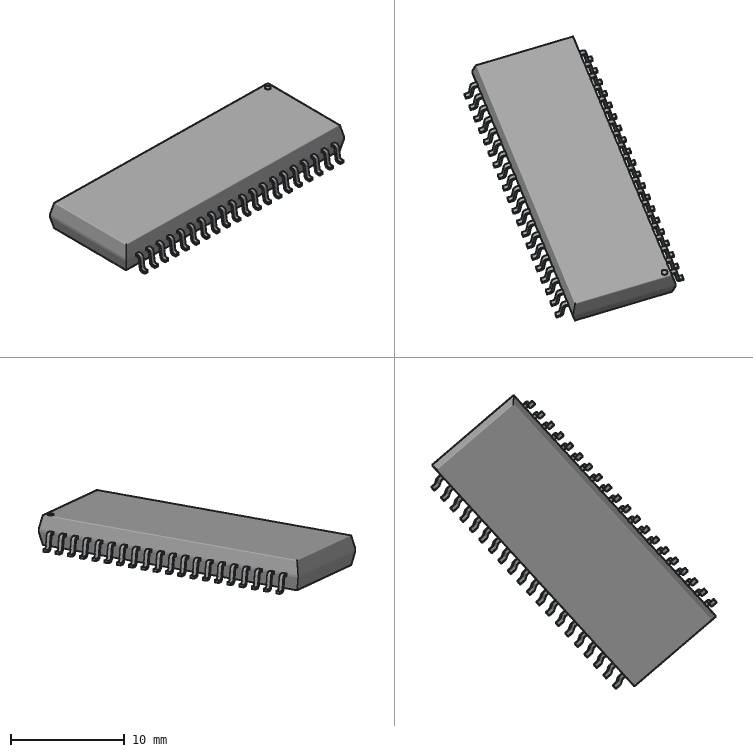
import cadquery as cq
import math

body_width = 9.6
body_length = 26.9
overall_height = 2.9
standoff = 0.1
draft_angle = 12.0
edge_radius = 0.1

leads_per_side = 20
lead_pitch = 1.27
lead_span = 11.86
lead_width = 0.4
lead_thickness = 0.23
leg_angle = 8.0
shoulder_x = 5.345
inner_bend_radius = 0.12
outer_bend_radius = inner_bend_radius + lead_thickness
lead_embed = 0.5

mark_diameter = 0.53
mark_inset_x = 0.79
mark_inset_y = 0.78
mark_depth = 0.05

body_height = overall_height - standoff
band_height = lead_thickness
band_bottom = standoff + (body_height - band_height) / 2
band_top = band_bottom + band_height


def make_body():
    """Moulded body: a straight band with a tapered half above and below it."""
    half_height = (body_height - band_height) / 2
    band = (
        cq.Workplane("XY")
        .workplane(offset=band_bottom)
        .rect(body_width, body_length)
        .extrude(band_height)
    )
    upper = (
        cq.Workplane("XY")
        .workplane(offset=band_top)
        .rect(body_width, body_length)
        .extrude(half_height, taper=draft_angle)
        .faces(">Z")
        .edges().fillet(edge_radius)
    )
    lower = upper.mirror("XY", (0, 0, (band_bottom + band_top) / 2))
    return band.union(upper).union(lower)


def make_lead():
    """Gull-wing lead on the +X side, centred on Y = 0."""
    slope = math.tan(math.radians(leg_angle))
    leg_width_x = lead_thickness / math.cos(math.radians(leg_angle))
    start_x = body_width / 2 - lead_embed
    tip_x = lead_span / 2

    def outer_x(z):
        """X of the outer leg face at height z."""
        return shoulder_x + (band_top - z) * slope

    def inner_x(z):
        """X of the inner leg face at height z."""
        return outer_x(z) - leg_width_x

    shoulder_outer = (outer_x(band_top), band_top)
    foot_upper = (outer_x(lead_thickness), lead_thickness)
    heel = (inner_x(0), 0)
    shoulder_inner = (inner_x(band_bottom), band_bottom)
    lead = (
        cq.Workplane("XZ")
        .moveTo(start_x, band_top)
        .lineTo(*shoulder_outer)
        .lineTo(*foot_upper)
        .lineTo(tip_x, lead_thickness)
        .lineTo(tip_x, 0)
        .lineTo(*heel)
        .lineTo(*shoulder_inner)
        .lineTo(start_x, band_bottom)
        .close()
        .extrude(lead_width / 2, both=True)
    )

    def bend(solid, corner, radius):
        """Round the bend edge that runs along Y through the corner (x, z)."""
        edge = cq.selectors.NearestToPointSelector((corner[0], 0, corner[1]))
        return solid.edges("|Y").edges(edge).fillet(radius)

    lead = bend(lead, shoulder_outer, outer_bend_radius)
    lead = bend(lead, shoulder_inner, inner_bend_radius)
    lead = bend(lead, foot_upper, inner_bend_radius)
    return bend(lead, heel, outer_bend_radius)


def make_mark():
    """Round pin 1 recess in the top face, at the -X, +Y corner."""
    return (
        cq.Workplane("XY")
        .workplane(offset=overall_height - mark_depth)
        .center(mark_inset_x - body_width / 2, body_length / 2 - mark_inset_y)
        .circle(mark_diameter / 2)
        .extrude(mark_depth)
    )


def make_leads():
    """Both rows of leads, evenly spaced along Y."""
    right_lead = make_lead()
    left_lead = right_lead.mirror("YZ")
    leads = cq.Workplane("XY").rarray(1, lead_pitch, 1, leads_per_side)
    right_row = leads.eachpoint(lambda place: right_lead.val().moved(place))
    left_row = leads.eachpoint(lambda place: left_lead.val().moved(place))
    return right_row.add(left_row)


result = make_body().cut(make_mark()).union(make_leads())